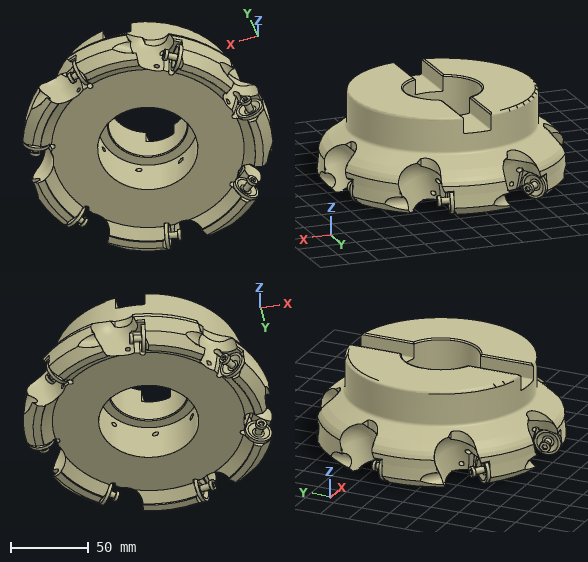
import cadquery as cq
import math

POCKET_COUNT = 7
CUTTER_R = 80.9
TOTAL_H = 61.7
BOSS_R = 61.9
BOSS_TOP_FILLET = 2.1
NECK_TOP_Z = 38.5
NECK_R = 63.3
NECK_BOTTOM_Z = 36.1
NECK_FILLET = 2.7
RIM_PROFILE = [(80.7, 7.5), (80.0, 14.7), (79.9, 21.0), (79.0, 23.4), (77.5, 25.8), (73.1, 29.6)]
RIM_CHAMFER = 6.5

BORE_R = 25.5
BORE_CHAMFER = 1.0
BORE_LOWER_CHAMFER = 0.6
COUNTERBORE_R = 32.2
COUNTERBORE_TOP_Z = 33.3
RECESS_R = 62.0
RECESS_MOUTH_R = 69.3
RECESS_DEPTH = 6.0
RECESS_LIP = 1.1
SLOT_W = 19.0
SLOT_DEPTH = 11.3
SLOT_EDGE = 1.0

POCKET_PITCH = 360 / POCKET_COUNT
FIRST_POCKET_ANGLE = 24.0
WALL_Y = -10.3

GULLET_R = 11.3
GULLET_X = 73.1
GULLET_FLOOR_Z = 14.5
GULLET_OUTER_X = 96.7
GULLET_BACK = [(69.6, -30.6), (71.7, -37.0), (GULLET_OUTER_X, -48.3)]

THROAT_R = 13.9
THROAT_X = GULLET_X
THROAT_Y = -23.5
THROAT_Z = 21.7
THROAT_LEAN = 22.0
THROAT_LENGTH = 48.3

SEAT_Y = -2.1
SEAT_INSERT_X = 71.7
SEAT_INSERT_Z = 9.0
SEAT_TILT = 15.0
SEAT_HALF = 9.2
SEAT_REACH = 32.2
SEAT_DEPTH = 10.0
OUTER_RELIEF_X = 6.8
CORNER_RELIEF_R = 1.8
AXIS_DROP = 2.5
DRIVER_R = 4.8
DRIVER_LENGTH = 54.8

INSERT_R = 8.9
INSERT_T = 2.4
BOWL_R = 7.1
BOWL_FLOOR_R = 3.9
BOWL_DEPTH = 1.6
SHANK_R = 2.3
HEAD_R = 3.5
HEAD_T = 2.3
PIN_LENGTH = 10.0
SOCKET_ACROSS = 3.2
SOCKET_DEPTH = 1.5

COOLANT_R = 1.5
COOLANT_START = cq.Vector(21.0, -18.5, 30.3)
COOLANT_END = cq.Vector(64.5, -12.7, 8.4)


def pocket_angle(index):
    return FIRST_POCKET_ANGLE + index * POCKET_PITCH


def around(shape, index):
    """Turn a shape built along X to the numbered pocket."""
    return shape.rotate((0, 0, 0), (0, 0, 1), pocket_angle(index))


def insert_plane():
    """Plane of the seat: its normal points clockwise and slightly down."""
    drop = math.radians(AXIS_DROP)
    return cq.Plane(
        origin=(SEAT_INSERT_X, SEAT_Y, SEAT_INSERT_Z),
        xDir=(1, 0, 0),
        normal=(0, -math.cos(drop), -math.sin(drop)),
    )


def turned_blank():
    profile = (
        cq.Workplane("XZ")
        .moveTo(0, 0)
        .lineTo(CUTTER_R - RIM_CHAMFER, 0)
        .lineTo(CUTTER_R, RIM_CHAMFER)
    )
    for point in RIM_PROFILE:
        profile = profile.lineTo(*point)
    profile = (
        profile
        .lineTo(NECK_R, NECK_BOTTOM_Z)
        .radiusArc((BOSS_R, NECK_TOP_Z), NECK_FILLET)
        .lineTo(BOSS_R, TOTAL_H - BOSS_TOP_FILLET)
        .radiusArc((BOSS_R - BOSS_TOP_FILLET, TOTAL_H), -BOSS_TOP_FILLET)
        .lineTo(0, TOTAL_H)
        .close()
    )
    return profile.revolve(360, (0, 0, 0), (0, 1, 0))


def bore():
    """Through bore with its counterbore and the cone-walled underside recess."""
    profile = (
        cq.Workplane("XZ")
        .moveTo(0, 0)
        .lineTo(RECESS_MOUTH_R, 0)
        .lineTo(RECESS_MOUTH_R, RECESS_LIP)
        .lineTo(RECESS_R, RECESS_DEPTH)
        .lineTo(COUNTERBORE_R, RECESS_DEPTH)
        .lineTo(COUNTERBORE_R, COUNTERBORE_TOP_Z)
        .lineTo(BORE_R + BORE_LOWER_CHAMFER, COUNTERBORE_TOP_Z)
        .lineTo(BORE_R, COUNTERBORE_TOP_Z + BORE_LOWER_CHAMFER)
        .lineTo(BORE_R, TOTAL_H - BORE_CHAMFER)
        .lineTo(BORE_R + BORE_CHAMFER, TOTAL_H)
        .lineTo(0, TOTAL_H)
        .close()
    )
    return profile.revolve(360, (0, 0, 0), (0, 1, 0))


def drive_slot():
    half = SLOT_W / 2
    floor_z = TOTAL_H - SLOT_DEPTH
    profile = (
        cq.Workplane("XZ")
        .moveTo(-half - SLOT_EDGE, TOTAL_H)
        .lineTo(-half, TOTAL_H - SLOT_EDGE)
        .lineTo(-half, floor_z + SLOT_EDGE)
        .radiusArc((-half + SLOT_EDGE, floor_z), -SLOT_EDGE)
        .lineTo(half - SLOT_EDGE, floor_z)
        .radiusArc((half, floor_z + SLOT_EDGE), -SLOT_EDGE)
        .lineTo(half, TOTAL_H - SLOT_EDGE)
        .lineTo(half + SLOT_EDGE, TOTAL_H)
        .close()
    )
    return profile.extrude(CUTTER_R, both=True)


def gullet():
    """Chip pocket, open upward and outward, with a flat wall on the seat side."""
    gullet_y = WALL_Y - GULLET_R
    arc_offset = GULLET_R * math.sqrt(0.5)
    profile = (
        cq.Workplane("XY", origin=(0, 0, GULLET_FLOOR_Z))
        .moveTo(GULLET_OUTER_X, WALL_Y)
        .lineTo(GULLET_X, WALL_Y)
        .threePointArc(
            (GULLET_X - arc_offset, gullet_y + arc_offset),
            (GULLET_X - GULLET_R, gullet_y),
        )
    )
    for point in GULLET_BACK:
        profile = profile.lineTo(*point)
    return profile.close().extrude(TOTAL_H)


def throat():
    """Ball-ended lower part of the chip pocket, leaning toward the seat as it goes down."""
    lean = math.radians(THROAT_LEAN)
    center = cq.Vector(THROAT_X, THROAT_Y, THROAT_Z)
    down = cq.Vector(0, math.sin(lean), -math.cos(lean))
    barrel = cq.Solid.makeCylinder(THROAT_R, THROAT_LENGTH, center, down)
    ball = cq.Workplane("XY").sphere(THROAT_R).translate(center)
    return ball.union(cq.Workplane(barrel))


def seat():
    """Square seat turned about the insert axis, with relieved top corners and inner edge."""
    plane = insert_plane().rotated((0, 0, -SEAT_TILT))
    pocket = (
        cq.Workplane(plane)
        .moveTo(-SEAT_HALF, SEAT_HALF)
        .hLineTo(SEAT_REACH)
        .vLineTo(-SEAT_REACH)
        .hLineTo(-SEAT_HALF)
        .close()
        .extrude(SEAT_DEPTH)
    )
    relief = (
        cq.Workplane(plane)
        .pushPoints([(-SEAT_HALF, SEAT_HALF), (OUTER_RELIEF_X, SEAT_HALF)])
        .circle(CORNER_RELIEF_R)
        .extrude(SEAT_DEPTH)
    )
    groove = (
        cq.Workplane(plane)
        .transformed(offset=(-SEAT_HALF, SEAT_HALF, CORNER_RELIEF_R), rotate=(90, 0, 0))
        .circle(CORNER_RELIEF_R)
        .extrude(2 * SEAT_HALF)
    )
    return pocket.union(relief).union(groove)


def driver_access():
    """Round clearance along the insert axis, running out through the facing tooth."""
    return cq.Workplane(insert_plane()).circle(DRIVER_R).extrude(DRIVER_LENGTH)


def coolant_hole():
    direction = COOLANT_END - COOLANT_START
    hole = cq.Solid.makeCylinder(COOLANT_R, direction.Length, COOLANT_START, direction)
    return cq.Workplane(hole)


def cutter_body():
    body = turned_blank().cut(bore()).cut(drive_slot())
    pocket = gullet().union(throat()).union(seat()).union(driver_access())
    for index in range(POCKET_COUNT):
        body = body.cut(around(pocket, index)).cut(around(coolant_hole(), index))
    return body


def insert(index):
    """Dished round insert and headed pin, standing on the seat."""
    profile = (
        cq.Workplane("XY")
        .moveTo(0, 0)
        .lineTo(INSERT_R, 0)
        .lineTo(INSERT_R, INSERT_T)
        .lineTo(BOWL_R, INSERT_T)
        .lineTo(BOWL_FLOOR_R, INSERT_T - BOWL_DEPTH)
        .lineTo(SHANK_R, INSERT_T - BOWL_DEPTH)
        .lineTo(SHANK_R, PIN_LENGTH - HEAD_T)
        .lineTo(HEAD_R, PIN_LENGTH - HEAD_T)
        .lineTo(HEAD_R, PIN_LENGTH)
        .lineTo(0, PIN_LENGTH)
        .close()
    )
    blank = profile.revolve(360, (0, 0, 0), (0, 1, 0))
    socket_d = SOCKET_ACROSS / math.cos(math.pi / 6)
    socket = cq.Workplane("XZ", origin=(0, PIN_LENGTH, 0)).polygon(6, socket_d).extrude(SOCKET_DEPTH)
    part = blank.cut(socket).rotate((0, 0, 0), (1, 0, 0), 90)
    placed = part.val().located(insert_plane().location)
    return around(cq.Workplane(placed), index)


body = cutter_body()
inserts = [insert(index).val() for index in range(POCKET_COUNT)]
result = cq.Compound.makeCompound([body.val(), *inserts])